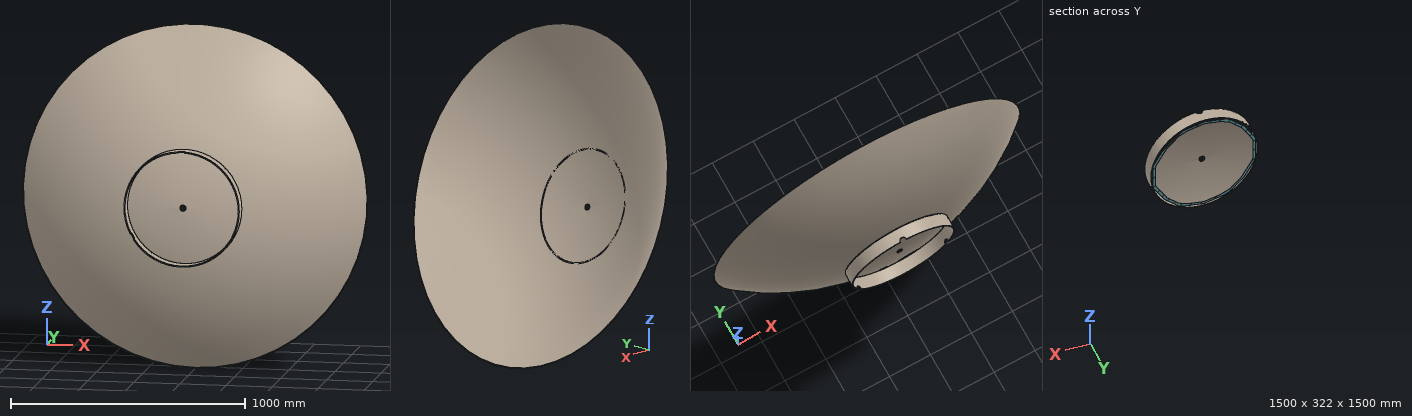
import cadquery as cq
import math

rim_radius = 750.0
sphere_radius = 1113.0
dish_thickness = 3.0
center_hole_diameter = 25.0
overall_depth = 322.0
ring_radius = 250.0
ring_wall = 5.0
notch_radius = 15.0
notch_angles = (90, 210, 330)

sphere_center_y = math.sqrt(sphere_radius**2 - rim_radius**2)


def ball(radius):
    """Sphere about the dish center, with its poles on a line parallel to X."""
    sphere = cq.Workplane("XY").sphere(radius, direct=(1, 0, 0))
    return sphere.translate((0, sphere_center_y, 0))


def forward_cylinder(radius):
    """Cylinder on the dish axis from the rim plane to the front face of the ring."""
    return cq.Workplane("XZ").circle(radius).extrude(overall_depth)


def make_dish():
    """Thin spherical cap, cut flat at the rim and pierced at the center."""
    cap = ball(sphere_radius).intersect(forward_cylinder(2 * rim_radius))
    shell = cap.cut(ball(sphere_radius - dish_thickness))
    return shell.cut(forward_cylinder(center_hole_diameter / 2)).solids()


def make_notch_cutter(angle):
    """Radial round bar on the front face of the ring, angle measured from +X toward +Z."""
    bar = cq.Workplane("YZ").center(-overall_depth, 0).circle(notch_radius).extrude(2 * ring_radius)
    return bar.rotate((0, 0, 0), (0, 1, 0), -angle)


def make_ring():
    """Mounting ring seated on the outside of the dish, with notches in its front edge."""
    ring = forward_cylinder(ring_radius).cut(forward_cylinder(ring_radius - ring_wall))
    ring = ring.cut(ball(sphere_radius))
    for angle in notch_angles:
        ring = ring.cut(make_notch_cutter(angle))
    return ring.solids()


dish = make_dish()
ring = make_ring()
result = cq.Compound.makeCompound([dish.val(), ring.val()])